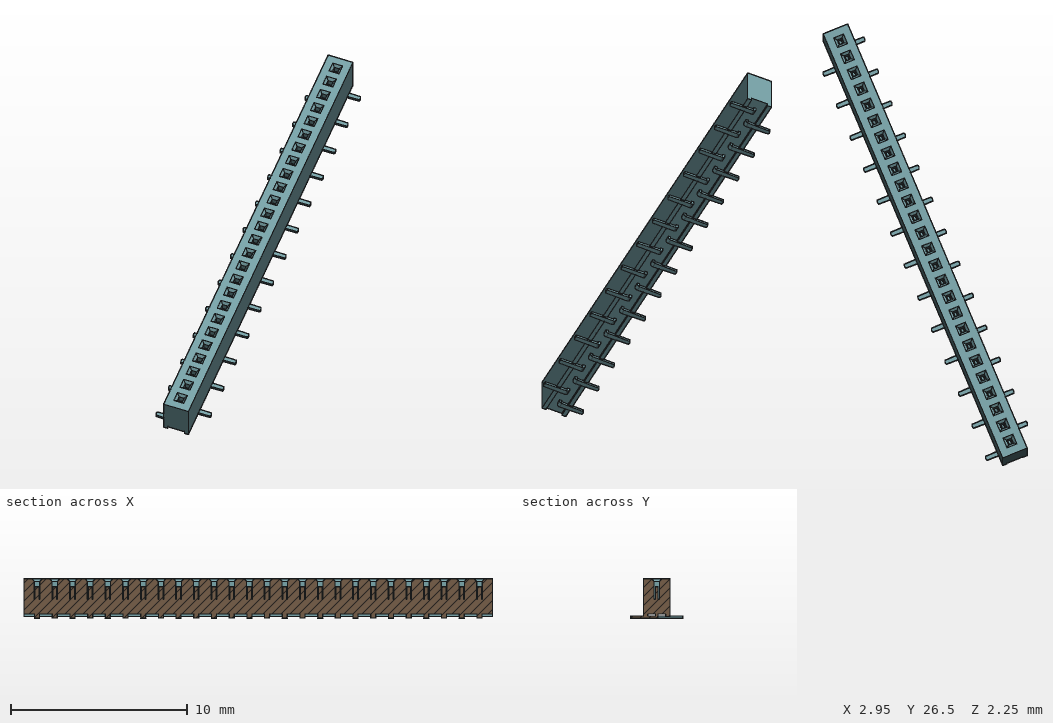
import cadquery as cq
contact_count = 26
pitch = 1.0
end_margin = 0.75
overall_height = 2.25

body_width = 1.5
body_length = (contact_count - 1) * pitch + 2 * end_margin
standoff = 0.1
channel_width = 1.0
channel_height = 0.15
channel_roof = standoff + channel_height

mouth_size = 0.6
throat_size = 0.3
lead_in_depth = (mouth_size - throat_size) / 2
throat_depth = 1.0
blade_recess = 0.3

lead_span = 2.95
lead_root_width = 0.3
lead_tip_width = 0.24
lead_thickness = 0.15
bend_radius = 0.15
tip_bulge = 0.03

throat_top = overall_height - lead_in_depth
throat_floor = throat_top - throat_depth


def make_body():
    """Rectangular housing with a clearance channel along its underside."""
    body = cq.Workplane("XY", origin=(0, 0, standoff)).box(
        body_width, body_length, overall_height - standoff, centered=(True, True, False)
    )
    channel = cq.Workplane("XY", origin=(0, 0, standoff)).box(
        channel_width, body_length, channel_height, centered=(True, True, False)
    )
    return body.cut(channel)


def make_socket(y):
    """Square socket with a tapered lead-in at the top face and a straight throat below it."""
    lead_in = (
        cq.Workplane("XY", origin=(0, y, overall_height))
        .rect(mouth_size, mouth_size)
        .workplane(offset=-lead_in_depth)
        .rect(throat_size, throat_size)
        .loft(ruled=True)
    )
    throat = (
        cq.Workplane("XY", origin=(0, y, throat_top))
        .rect(throat_size, throat_size)
        .extrude(-throat_depth)
    )
    return lead_in.union(throat)


def make_blade(y):
    """Upper end of a contact, standing on the floor of its socket."""
    blade_height = throat_depth - blade_recess
    return (
        cq.Workplane("XY", origin=(0, y, throat_floor))
        .rect(lead_thickness, lead_tip_width)
        .extrude(blade_height)
    )


def make_contact(y, side):
    """L-shaped contact: a post under the housing bent into a tapered lead along X (side is +1 or -1)."""
    post_inner = -side * lead_thickness / 2
    post_outer = side * lead_thickness / 2
    lead_tip = side * lead_span / 2
    tip_corner = lead_tip - side * tip_bulge
    bend = (
        cq.Workplane("XZ", origin=(0, y + lead_root_width / 2, 0))
        .moveTo(post_inner, channel_roof)
        .lineTo(post_inner, bend_radius)
        .radiusArc((post_inner + side * bend_radius, 0), -side * bend_radius)
        .lineTo(lead_tip, 0)
        .lineTo(lead_tip, lead_thickness)
        .lineTo(post_outer, lead_thickness)
        .lineTo(post_outer, channel_roof)
        .close()
        .extrude(lead_root_width)
    )
    plan = (
        cq.Workplane("XY", origin=(0, y, 0))
        .moveTo(post_inner, -lead_root_width / 2)
        .lineTo(tip_corner, -lead_tip_width / 2)
        .threePointArc((lead_tip, 0), (tip_corner, lead_tip_width / 2))
        .lineTo(post_inner, lead_root_width / 2)
        .close()
        .extrude(channel_roof)
    )
    return bend.intersect(plan)


result = make_body()
first_y = -(contact_count - 1) * pitch / 2
for index in range(contact_count):
    contact_y = first_y + index * pitch
    lead_side = 1 if index % 2 else -1
    result = result.cut(make_socket(contact_y))
    result = result.union(make_blade(contact_y))
    result = result.union(make_contact(contact_y, lead_side))